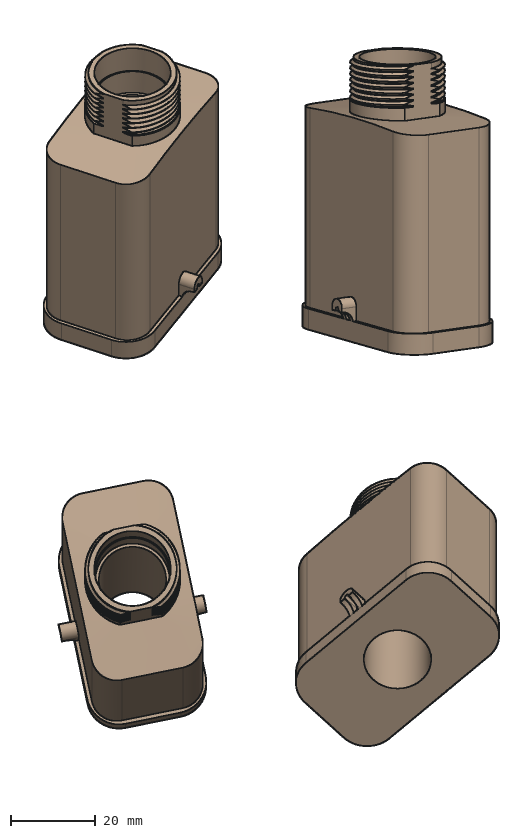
import cadquery as cq

total_height = 67
base_length = 48.0
pin_span = 35.0

flange_step = 0.95
base_width = 28.6
base_height = 5.1
base_corner_radius = 7.65
body_width = base_width - 2 * flange_step
body_length = base_length - 2 * flange_step
body_corner_radius = 6
body_edge_height = 52.85
crown_height = 54.0

collar_radius = 11.3
thread_crest_radius = 11.25
core_radius = 10.45
collar_top = 56.9
flat_spacing = 20.25
thread_pitch = 1.4
thread_turns = 7
rim_gap = 0.1
root_land = 0.1
flank_embed = 0.1
shank_depth = 0.2
mouth_radius = 9.05
throat_radius = 8.8
bore_radius = 8.0
mouth_depth = 6.9
throat_depth = 13.4

pin_radius = 2
pin_axis_height = 8.6
pin_tip_bottom = 7.6
gusset_arc_radius = 3.0
slot_top = 8.6
slot_round_radius = 0.55
slot_foot_half_width = 0.75


def rounded_block(width, length, height, corner_radius):
    """Upright block on the XY plane with rounded vertical edges."""
    block = cq.Workplane("XY").box(width, length, height, centered=(True, True, False))
    return block.edges("|Z").fillet(corner_radius)


def hood_body():
    """Body with a roof that arches from one short end to the other."""
    half_length = body_length / 2
    arch = (
        cq.Workplane("YZ")
        .moveTo(-half_length, 0)
        .lineTo(-half_length, body_edge_height)
        .threePointArc((0, crown_height), (half_length, body_edge_height))
        .lineTo(half_length, 0)
        .close()
        .extrude(body_width / 2, both=True)
    )
    return rounded_block(body_width, body_length, crown_height, body_corner_radius).intersect(arch)


def cylinder(radius, bottom, top):
    """Cylinder on the Z axis."""
    return cq.Workplane("XY").workplane(offset=bottom).circle(radius).extrude(top - bottom)


def thread_ridge():
    """Right-handed V ridge that starts inside the collar and runs out just below the rim."""
    half_ridge = (thread_pitch - root_land) / 2
    run = thread_turns * thread_pitch
    start_height = total_height - rim_gap - half_ridge - run
    shoulder_radius = core_radius - flank_embed
    shank_radius = shoulder_radius - shank_depth
    helix = cq.Wire.makeHelix(thread_pitch, run, core_radius)
    ridge = (
        cq.Workplane("XZ")
        .moveTo(shank_radius, -half_ridge)
        .lineTo(shoulder_radius, -half_ridge)
        .lineTo(thread_crest_radius, 0)
        .lineTo(shoulder_radius, half_ridge)
        .lineTo(shank_radius, half_ridge)
        .close()
        .sweep(cq.Workplane(helix), isFrenet=True)
    )
    return ridge.rotate((0, 0, 0), (0, 0, 1), -90).translate((0, 0, start_height))


def threaded_neck():
    """Collar and threaded core, trimmed by two flats facing -Y and +Y."""
    neck = cylinder(core_radius, body_edge_height, total_height)
    neck = neck.union(cylinder(collar_radius, body_edge_height, collar_top))
    neck = neck.union(thread_ridge())
    flats = cq.Workplane("XY").box(
        2 * collar_radius, flat_spacing, total_height, centered=(True, True, False)
    )
    return neck.intersect(flats)


def bore():
    """Through bore that widens in two steps towards the rim."""
    through = cylinder(bore_radius, 0, total_height)
    throat = cylinder(throat_radius, total_height - throat_depth, total_height)
    mouth = cylinder(mouth_radius, total_height - mouth_depth, total_height)
    return through.union(throat).union(mouth)


def pin_slot():
    """Round-topped slot under the pins, wider at its foot, running along X."""
    spring_height = slot_top - slot_round_radius
    return (
        cq.Workplane("YZ")
        .moveTo(-slot_foot_half_width, base_height)
        .lineTo(-slot_round_radius, spring_height)
        .threePointArc((0, slot_top), (slot_round_radius, spring_height))
        .lineTo(slot_foot_half_width, base_height)
        .close()
        .extrude(pin_span / 2, both=True)
    )


def locking_pins():
    """Pair of round-topped pins, each carried by a slotted gusset with a concave underside."""
    tip = pin_span / 2
    foot = base_width / 2
    top = pin_axis_height + pin_radius
    side_profile = (
        cq.Workplane("XZ")
        .moveTo(0, base_height)
        .lineTo(foot, base_height)
        .radiusArc((tip, pin_tip_bottom), gusset_arc_radius)
        .lineTo(tip, top)
        .lineTo(0, top)
        .close()
        .extrude(pin_radius, both=True)
    )
    end_profile = (
        cq.Workplane("YZ")
        .moveTo(-pin_radius, base_height)
        .lineTo(-pin_radius, pin_axis_height)
        .threePointArc((0, top), (pin_radius, pin_axis_height))
        .lineTo(pin_radius, base_height)
        .close()
        .extrude(tip)
    )
    pin = side_profile.intersect(end_profile).cut(pin_slot())
    return pin.union(pin.mirror("YZ"))


base = rounded_block(base_width, base_length, base_height, base_corner_radius)
result = base.union(locking_pins()).union(hood_body()).union(threaded_neck()).cut(bore())